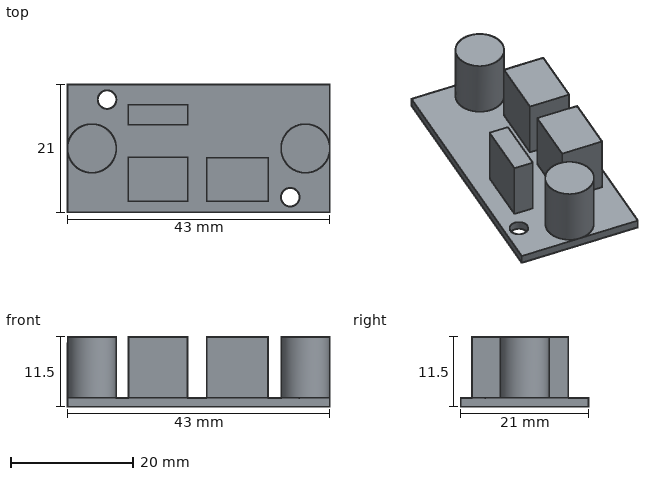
import cadquery as cq

board_length = 43.0
board_width = 21.0
board_thickness = 1.5
component_height = 9.98

post_diameter = 8.0
post_x = (board_length - post_diameter) / 2

hole_diameter = 3.0
hole_x = 15.0
hole_y = 8.0

left_blocks_x = -11.52
left_blocks_length = 9.7
right_block_x = 1.3
right_block_length = 10.1
front_blocks_y = -8.65
left_block_width = 7.22
right_block_width = 7.1
narrow_block_y = 3.85
narrow_block_width = 3.3


def component_block(x, y, length, width):
    """Block standing on the board, with its lower-left corner at (x, y)."""
    return (
        cq.Workplane("XY")
        .box(length, width, component_height, centered=False)
        .translate((x, y, board_thickness))
    )


board = (
    cq.Workplane("XY")
    .rect(board_length, board_width)
    .extrude(board_thickness)
)

mounting_holes = (
    cq.Workplane("XY")
    .pushPoints([(-hole_x, hole_y), (hole_x, -hole_y)])
    .circle(hole_diameter / 2)
    .extrude(board_thickness)
)

posts = (
    cq.Workplane("XY", origin=(0, 0, board_thickness))
    .pushPoints([(-post_x, 0), (post_x, 0)])
    .circle(post_diameter / 2)
    .extrude(component_height)
)

result = (
    board.cut(mounting_holes)
    .union(posts)
    .union(component_block(left_blocks_x, front_blocks_y, left_blocks_length, left_block_width))
    .union(component_block(right_block_x, front_blocks_y, right_block_length, right_block_width))
    .union(component_block(left_blocks_x, narrow_block_y, left_blocks_length, narrow_block_width))
)